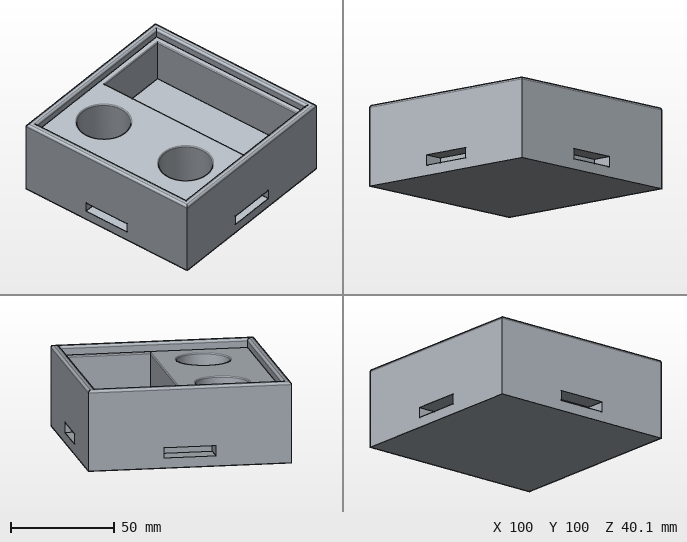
import cadquery as cq

side = 100.0
height = 40.1

rim_width = 3.9
rim_radius = 1.2
deck_depth = 4.4
deck_height = height - deck_depth

compartment_floor = 13.0
compartment_depth = deck_height - compartment_floor
edge_radius = 0.5
pocket_length = 86.2
pocket_width = 40.8
pocket_center_y = 22.7
hole_diameter = 26.2
hole_offset_x = 25.4
hole_center_y = -20.5

slot_length = 25.5
slot_height = 5.1
slot_bottom = 5.1
slot_depth = 10.0


def make_block():
    """Square block with a recessed deck and a rounded rim."""
    block = cq.Workplane("XY").box(side, side, height, centered=(True, True, False))
    opening = side - 2 * rim_width
    block = block.faces(">Z").workplane().rect(opening, opening).cutBlind(-deck_depth)
    return block.faces(">Z").edges().fillet(rim_radius)


def cut_compartments(body):
    """Sink the rectangular pocket and two round holes, then round their mouths."""
    deck = cq.Workplane("XY", origin=(0, 0, deck_height))
    pocket = deck.center(0, pocket_center_y).rect(pocket_length, pocket_width)
    holes = deck.pushPoints([(-hole_offset_x, hole_center_y), (hole_offset_x, hole_center_y)])
    body = body.cut(pocket.extrude(-compartment_depth))
    body = body.cut(holes.circle(hole_diameter / 2).extrude(-compartment_depth))
    deck_face = body.faces(cq.selectors.BoxSelector(
        (-side, -side, deck_height - edge_radius),
        (side, side, deck_height + edge_radius),
    )).faces("|Z").val()
    mouth_edges = [edge for wire in deck_face.innerWires() for edge in wire.Edges()]
    return body.newObject(mouth_edges).fillet(edge_radius)


def cut_slots(body):
    """Cut one blind slot at the middle of each side wall."""
    slot = cq.Workplane("XY").box(slot_length, slot_depth, slot_height, centered=(True, False, False))
    slot = slot.translate((0, -side / 2, slot_bottom))
    for angle in (0, 90, 180, 270):
        body = body.cut(slot.rotate((0, 0, 0), (0, 0, 1), angle))
    return body


result = cut_slots(cut_compartments(make_block()))